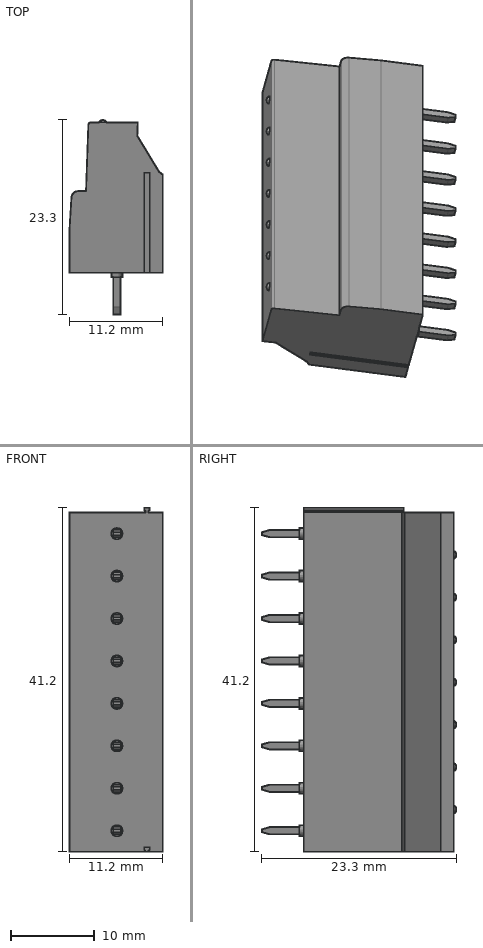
import cadquery as cq
import math

POLE_COUNT = 8
PITCH = 5.08
BODY_HEIGHT = POLE_COUNT * PITCH

BODY_WIDTH = 11.2
BODY_DEPTH = 18.0
LOWER_STRAIGHT_Y = 5.16
LOWER_LEAN = 3.5
SHELF_Y = 9.8
SHELF_FILLET = 0.85
UPPER_FOOT_X = 1.98
UPPER_LEAN = 2.0
REAR_LEFT_FILLET = 0.3
REAR_RIGHT_X = 8.2
SLOPE_TOP_X = 8.15
SLOPE_TOP_Y = 16.4
SLOPE_FOOT_X = 10.75
SLOPE_FOOT_Y = 12.1
RIGHT_WALL_Y = 11.75

RAIL_X = 9.28
RAIL_LENGTH = 12.0
RAIL_HEIGHT = 0.57
RAIL_WIDTH = 0.65
RAIL_NECK_WIDTH = 0.37
RAIL_NECK_HEIGHT = 0.14
RAIL_FLANGE_HEIGHT = 0.29

PIN_X = 5.69
PIN_SIZE = 0.9
PIN_LENGTH = 5.0
PIN_TAPER_LENGTH = 0.95
PIN_TIP_HEIGHT = 0.35
COLLAR_DIAMETER = 1.35
COLLAR_LENGTH = 0.5

NUB_X = 4.0
NUB_BASE_DIAMETER = 0.92
NUB_HEIGHT = 0.3


def make_body():
    lower_lean_x = (SHELF_Y - LOWER_STRAIGHT_Y) * math.tan(math.radians(LOWER_LEAN))
    upper_lean_x = (BODY_DEPTH - SHELF_Y) * math.tan(math.radians(UPPER_LEAN))
    shelf_corner = (lower_lean_x, SHELF_Y)
    rear_left_corner = (UPPER_FOOT_X + upper_lean_x, BODY_DEPTH)
    outline = [
        (0, 0),
        (BODY_WIDTH, 0),
        (BODY_WIDTH, RIGHT_WALL_Y),
        (SLOPE_FOOT_X, SLOPE_FOOT_Y),
        (SLOPE_TOP_X, SLOPE_TOP_Y),
        (REAR_RIGHT_X, BODY_DEPTH),
        rear_left_corner,
        (UPPER_FOOT_X, SHELF_Y),
        shelf_corner,
        (0, LOWER_STRAIGHT_Y),
    ]
    body = cq.Workplane("XY").polyline(outline).close().extrude(BODY_HEIGHT)

    def fillet_corner(solid, corner, radius):
        edge = cq.selectors.NearestToPointSelector((*corner, BODY_HEIGHT / 2))
        return solid.edges(edge).fillet(radius)

    body = fillet_corner(body, shelf_corner, SHELF_FILLET)
    return fillet_corner(body, rear_left_corner, REAR_LEFT_FILLET)


def make_rail(base_z):
    """Bar with a narrow neck at base_z flaring to a wider flange, running back from the front face."""
    half_neck = RAIL_NECK_WIDTH / 2
    half_width = RAIL_WIDTH / 2
    neck_top_z = base_z + RAIL_NECK_HEIGHT
    top_z = base_z + RAIL_HEIGHT
    flange_z = top_z - RAIL_FLANGE_HEIGHT
    profile = [
        (RAIL_X - half_neck, base_z),
        (RAIL_X + half_neck, base_z),
        (RAIL_X + half_neck, neck_top_z),
        (RAIL_X + half_width, flange_z),
        (RAIL_X + half_width, top_z),
        (RAIL_X - half_width, top_z),
        (RAIL_X - half_width, flange_z),
        (RAIL_X - half_neck, neck_top_z),
    ]
    return cq.Workplane("XZ").polyline(profile).close().extrude(-RAIL_LENGTH)


def make_pin(z):
    """Square pin with a wedge tip flattened in Z, standing on a round collar."""
    half_size = PIN_SIZE / 2
    half_tip = PIN_TIP_HEIGHT / 2
    taper_start_y = -(PIN_LENGTH - PIN_TAPER_LENGTH)
    side_profile = [
        (0, z - half_size),
        (0, z + half_size),
        (taper_start_y, z + half_size),
        (-PIN_LENGTH, z + half_tip),
        (-PIN_LENGTH, z - half_tip),
        (taper_start_y, z - half_size),
    ]
    pin = (
        cq.Workplane("YZ", origin=(PIN_X, 0, 0))
        .polyline(side_profile)
        .close()
        .extrude(half_size, both=True)
    )
    collar = (
        cq.Workplane("XZ", origin=(PIN_X, 0, z))
        .circle(COLLAR_DIAMETER / 2)
        .extrude(COLLAR_LENGTH)
    )
    return pin.union(collar)


def make_nub(z):
    """Spherical cap standing on the rear face."""
    base_radius = NUB_BASE_DIAMETER / 2
    sphere_radius = (base_radius**2 + NUB_HEIGHT**2) / (2 * NUB_HEIGHT)
    center_y = BODY_DEPTH + NUB_HEIGHT - sphere_radius
    return cq.Workplane("XY", origin=(NUB_X, center_y, z)).sphere(sphere_radius)


result = make_body()
result = result.union(make_rail(BODY_HEIGHT))
result = result.cut(make_rail(0))
for pole in range(POLE_COUNT):
    result = result.union(make_pin((pole + 0.5) * PITCH))
for gap in range(1, POLE_COUNT):
    result = result.union(make_nub(gap * PITCH))